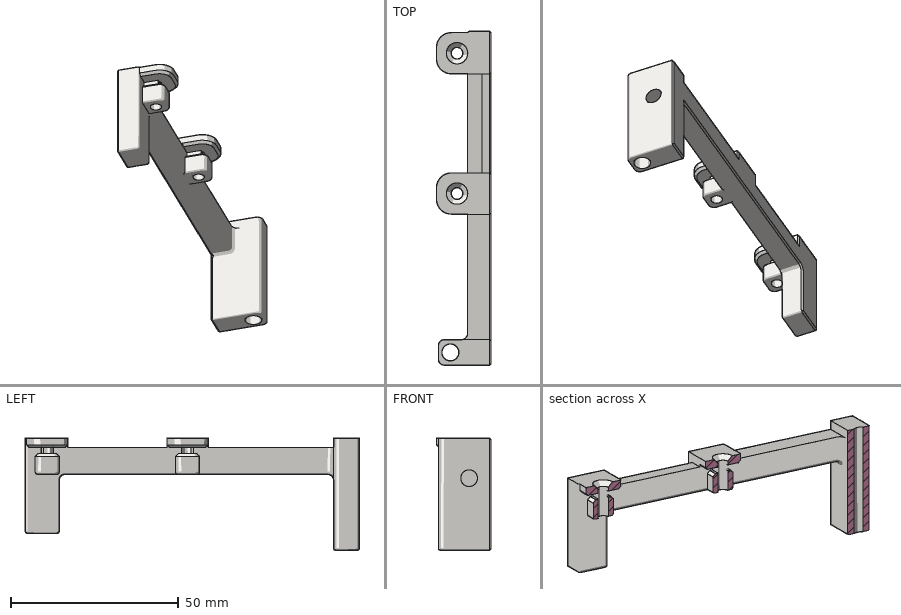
import cadquery as cq

width = 16.4
length = 99.75
height = 33.5

bar_front = 9.3
bar_top = -2.8
bar_bottom = -10.9
edge_round = 0.8
back_chamfer = 0.5
inner_round = 1.8

post_front = 0.6
post_depth = 7.7
post_round = 1.8
post_foot_round = 0.6
leg_bottom = -28.5

post_hole_diameter = 5.0
post_hole_x = 4.2
cross_hole_x = 9.8
cross_hole_z = -12.0
cross_hole_depth = 6.0

hole_x = 6.2
tab_centers = (51.3, 93.2)
tab_half = hole_x
tab_round = 4.5
tab_chamfer = 0.8
block_half = 3.6
block_round = block_half - (tab_half - tab_round)
block_top = -4.6
block_chamfer = 0.9
neck_half = 1.8
neck_front = 4.9
screw_diameter = 3.4
sink_diameter = 6.4
sink_depth = (sink_diameter - screw_diameter) / 2

slope_width = 2.7
slope_drop = 1.2

leg_inner = tab_centers[1] - block_half

overlap = 2.0
margin = 0.1


def box(x_range, y_range, z_range):
    """Box between the given limits along each axis."""
    sizes = [high - low for low, high in (x_range, y_range, z_range)]
    corner = (x_range[0], y_range[0], z_range[0])
    return cq.Workplane("XY").box(*sizes, centered=False).translate(corner)


def edges_near(low, high):
    """Selector for the edges whose middle lies between two corners, widened by the margin."""
    low_corner = tuple(value - margin for value in low)
    high_corner = tuple(value + margin for value in high)
    return cq.selectors.BoxSelector(low_corner, high_corner)


def make_profile():
    """Side profile of the bar, leg, tab pads and rear of the post, extruded along X."""
    middle_start, middle_end = tab_centers[0] - tab_half, tab_centers[0] + tab_half
    end_start = tab_centers[1] - tab_half
    outline = [
        (0, -height),
        (post_depth, -height),
        (post_depth, bar_bottom),
        (leg_inner, bar_bottom),
        (leg_inner, leg_bottom),
        (length, leg_bottom),
        (length, 0),
        (end_start, 0),
        (end_start, bar_top),
        (middle_end, bar_top),
        (middle_end, 0),
        (middle_start, 0),
        (middle_start, bar_top),
        (post_depth, bar_top),
        (post_depth, 0),
        (0, 0),
    ]
    plane = cq.Workplane("YZ", origin=(bar_front, 0, 0))
    return plane.polyline(outline).close().extrude(width - bar_front)


def make_slope():
    """Wedge that is cut from the back of the bar top between the two tabs."""
    start = tab_centers[0] + tab_half
    end = tab_centers[1] - tab_half
    wedge = [(width - slope_width, bar_top), (width, bar_top), (width, bar_top - slope_drop)]
    return cq.Workplane("XZ", origin=(0, start, 0)).polyline(wedge).close().extrude(start - end)


def make_frame():
    """Bar and leg with rounded lower edges and a chamfer all around the back face."""
    frame = make_profile().cut(make_slope())
    inner_corner = edges_near((bar_front, leg_inner, bar_bottom), (width, leg_inner, bar_bottom))
    frame = frame.edges(inner_corner).edges("|X").fillet(inner_round)
    frame = frame.faces(">X").edges().chamfer(back_chamfer)
    leg_foot = edges_near((bar_front, leg_inner, leg_bottom), (width, length, leg_bottom))
    frame = frame.edges(leg_foot).edges("|X").fillet(edge_round)
    lower_front = edges_near((bar_front, post_depth, leg_bottom), (bar_front, length, bar_bottom))
    return frame.edges(lower_front).edges("<X").fillet(edge_round)


def add_post(frame):
    """Frame with the front of the post added and the post's edges rounded."""
    post = box((post_front, bar_front + overlap), (0, post_depth), (-height, 0))
    part = frame.union(post.edges("|Z and <X").fillet(post_round))
    foot = edges_near((post_front, 0, -height), (width - 2 * back_chamfer, post_depth, -height))
    part = part.edges(foot).fillet(post_foot_round)
    bar_corner = edges_near((bar_front, post_depth, bar_bottom), (bar_front, post_depth, bar_top))
    return part.edges(bar_corner).edges("|Z").fillet(inner_round)


def rounded_block(center, half, corner_round, z_range):
    """Block centred on a screw hole, rounded at the front and let into the bar at the back."""
    block = box((hole_x - half, bar_front + overlap), (center - half, center + half), z_range)
    return block.edges("|Z and <X").fillet(corner_round)


def make_clamp(center):
    """Tab, neck and clamping block around one screw hole."""
    tab = rounded_block(center, tab_half, tab_round, (bar_top, 0))
    tab = tab.faces("<Z").edges().chamfer(tab_chamfer)
    neck_sides = (center - neck_half, center + neck_half)
    neck = box((neck_front, bar_front + overlap), neck_sides, (block_top, bar_top))
    block = rounded_block(center, block_half, block_round, (bar_bottom, block_top))
    block = block.faces(">Z").edges().chamfer(block_chamfer)
    block = block.faces("<Z").edges().fillet(edge_round)
    return tab.union(neck).union(block)


def make_screw_hole(center):
    """Countersunk hole that goes down through one tab and its block."""
    top = cq.Workplane("XY").center(hole_x, center)
    shaft = top.circle(screw_diameter / 2).extrude(bar_bottom)
    rim = top.circle(sink_diameter / 2).workplane(offset=-sink_depth)
    sink = rim.circle(screw_diameter / 2).loft(ruled=True)
    return shaft.union(sink)


def make_post_holes():
    """Vertical through hole and blind cross hole of the post."""
    radius = post_hole_diameter / 2
    vertical = cq.Workplane("XY").center(post_hole_x, post_depth / 2).circle(radius).extrude(-height)
    cross = cq.Workplane("XZ").center(cross_hole_x, cross_hole_z).circle(radius).extrude(-cross_hole_depth)
    return vertical.union(cross)


result = add_post(make_frame())
for tab_center in tab_centers:
    result = result.union(make_clamp(tab_center)).cut(make_screw_hole(tab_center))
result = result.cut(make_post_holes())